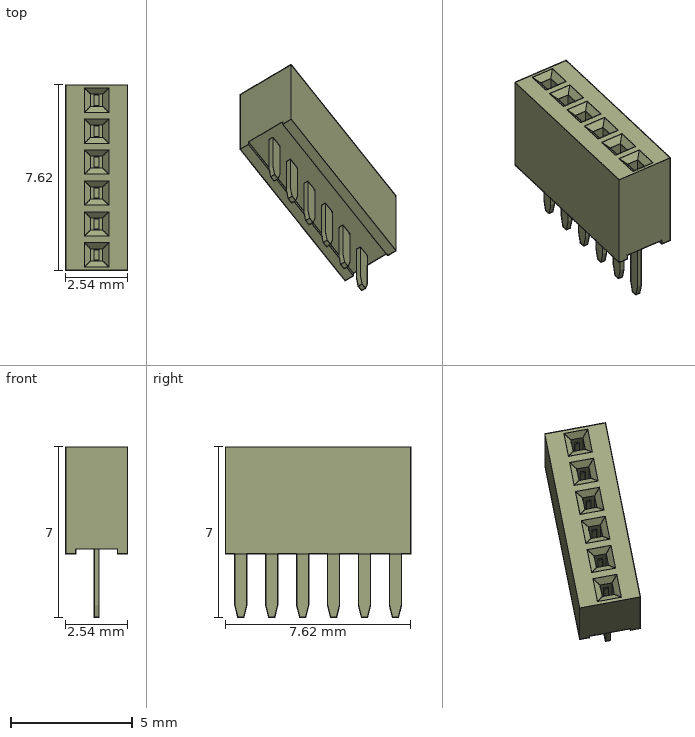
import cadquery as cq

contact_count = 6
length = 7.62
width = length / 3
pitch = length / contact_count
total_height = 7.0
body_height = 4.4
body_base = total_height - body_height

channel_width = 1.7
channel_depth = 0.2
channel_top = body_base + channel_depth

socket_mouth = 1.0
well_width = 0.5
well_depth = 3.0
lead_in_depth = (socket_mouth - well_width) / 2
lead_in_floor = total_height - lead_in_depth
well_floor = total_height - well_depth

contact_thickness = 0.2
contact_width = well_width
tip_width = contact_width / 2
tip_length = 0.5
fork_gap = 0.42
fork_recess = 0.5
fork_top = lead_in_floor - fork_recess
fork_slope_drop = (contact_width - fork_gap) / 2
fork_root_height = 0.5
fork_gap_floor = well_floor + fork_root_height

contact_positions = [(i - (contact_count - 1) / 2) * pitch for i in range(contact_count)]


def block(size_x, size_y, bottom, top, y=0):
    """Upright block centred on X = 0 and on the given Y."""
    return cq.Workplane("XY", origin=(0, y, bottom)).box(
        size_x, size_y, top - bottom, centered=(True, True, False)
    )


def make_housing():
    """Rectangular body with the channel cut through its underside along Y."""
    body = block(width, length, body_base, total_height)
    channel = block(channel_width, length, body_base, channel_top)
    return body.cut(channel)


def make_socket(y):
    """Cutter for one socket: the tapered lead-in joined to the square well."""
    lead_in = (
        cq.Workplane("XY", origin=(0, y, lead_in_floor))
        .rect(well_width, well_width)
        .workplane(offset=lead_in_depth)
        .rect(socket_mouth, socket_mouth)
        .loft(ruled=True)
    )
    well = block(well_width, well_width, well_floor, lead_in_floor, y)
    return lead_in.union(well)


def make_contact(y):
    """Flat contact: a pin with a tapered tip, and a fork whose tines slope inward at 45 degrees."""
    right_side = [
        (tip_width / 2, 0),
        (contact_width / 2, tip_length),
        (contact_width / 2, fork_top),
        (fork_gap / 2, fork_top - fork_slope_drop),
        (fork_gap / 2, fork_gap_floor),
    ]
    left_side = [(-across, height) for across, height in reversed(right_side)]
    return (
        cq.Workplane("YZ", origin=(0, y, 0))
        .polyline(right_side + left_side)
        .close()
        .extrude(contact_thickness / 2, both=True)
    )


result = make_housing()
for position in contact_positions:
    result = result.cut(make_socket(position))
    result = result.union(make_contact(position))